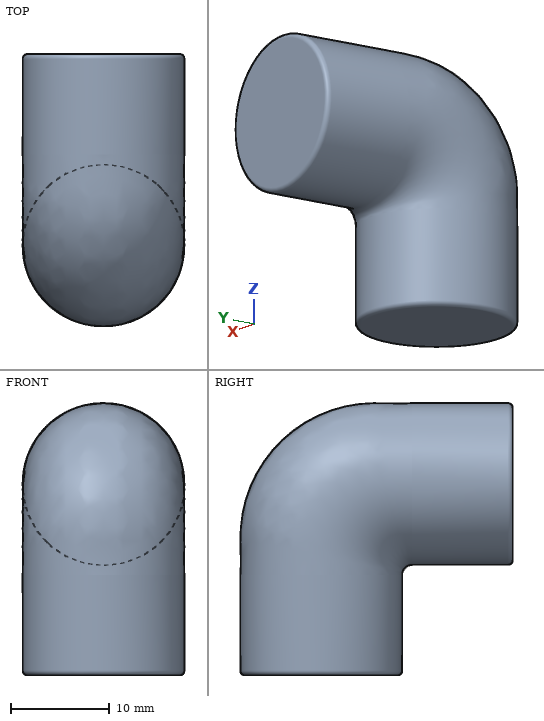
import math

import cadquery as cq


leg_diameter = 16.5
overall_length = 27.75
inner_bend_radius = 1.0
outer_bend_radius = 13.75
end_fillet = 0.5
bend_steps = 8

leg_radius = leg_diameter / 2
leg_reach = overall_length - leg_radius
pivot_offset = leg_radius + inner_bend_radius
leg_length = leg_reach - pivot_offset
outer_wall = inner_bend_radius + leg_diameter
arc_offset = outer_wall - outer_bend_radius


def outer_distance(angle):
    """Distance from the pivot to the back of the elbow along a ray.

    The back is two straight walls joined by a tangent arc; the angle is
    measured from the plane where the lower leg joins the bend.
    """
    along_arc_centre = arc_offset * (math.cos(angle) + math.sin(angle))
    if outer_wall * math.tan(angle) < arc_offset:
        return outer_wall / math.cos(angle)
    if outer_wall < arc_offset * math.tan(angle):
        return outer_wall / math.sin(angle)
    centre_distance_squared = 2 * arc_offset**2
    return along_arc_centre + math.sqrt(
        along_arc_centre**2 - centre_distance_squared + outer_bend_radius**2
    )


def bend_section(angle):
    """Elliptical cross-section in the plane through the pivot at the angle."""
    outer = outer_distance(angle)
    centre_distance = (outer + inner_bend_radius) / 2
    radial_half_width = (outer - inner_bend_radius) / 2
    radial = cq.Vector(0, -math.cos(angle), math.sin(angle))
    forward = cq.Vector(0, math.sin(angle), math.cos(angle))
    pivot = cq.Vector(0, pivot_offset, -pivot_offset)
    plane = cq.Plane(origin=pivot + radial * centre_distance, xDir=radial, normal=forward)
    return cq.Workplane(plane).ellipse(radial_half_width, leg_radius).wires().val()


def make_bend():
    """Smooth loft through sections that turn a quarter about the pivot."""
    quarter_turn = math.pi / 2
    sections = [bend_section(quarter_turn * step / bend_steps) for step in range(bend_steps + 1)]
    return cq.Workplane(cq.Solid.makeLoft(sections))


def make_leg(direction):
    """Straight leg from the bend outward, with a rounded outer rim."""
    plane = cq.Plane(origin=direction * pivot_offset, xDir=(1, 0, 0), normal=direction)
    leg = cq.Workplane(plane).circle(leg_radius).extrude(leg_length)
    return leg.faces(cq.selectors.DirectionMinMaxSelector(direction)).edges().fillet(end_fillet)


upper_leg = make_leg(cq.Vector(0, 1, 0))
lower_leg = make_leg(cq.Vector(0, 0, -1))

result = make_bend().union(upper_leg).union(lower_leg)